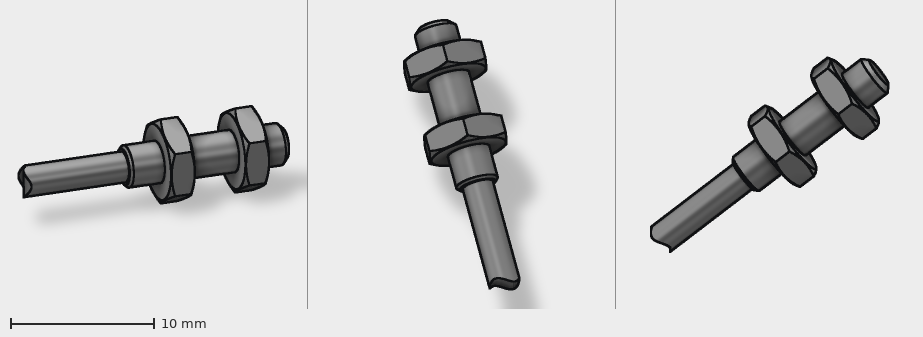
import cadquery as cq
import math

OVERALL_LENGTH = 19.67

HOUSING_DIAMETER = 3.0
HOUSING_LENGTH = 12.0
FRONT_CHAMFER = 0.4
REAR_CHAMFER = 0.22

CABLE_DIAMETER = 2.2

NUT_ACROSS_FLATS = 5.5
NUT_THICKNESS = 1.79
NUT_FACE_DIAMETER = 5.39
NUT_CHAMFER_ANGLE = 30.0
FRONT_NUT_SETBACK = 2.1
NUT_SPACING = 5.57

WAVE_LEFT_HEIGHT = 0.24
WAVE_CREST_X = -0.57
WAVE_CREST_HEIGHT = 0.53
WAVE_TROUGH_X = 0.57
WAVE_RIGHT_HEIGHT = 0.37


def make_housing():
    """Cylindrical barrel with a chamfer on each end."""
    radius = HOUSING_DIAMETER / 2
    barrel = cq.Workplane("XZ").circle(radius).extrude(HOUSING_LENGTH)
    return barrel.faces(">Y").chamfer(FRONT_CHAMFER).faces("<Y").chamfer(REAR_CHAMFER)


def make_cable():
    """Round cable that butts against the housing and ends in a wavy cut."""
    radius = CABLE_DIAMETER / 2
    length = OVERALL_LENGTH - HOUSING_LENGTH
    blank = cq.Workplane("XZ", origin=(0, -HOUSING_LENGTH, 0)).circle(radius).extrude(length)

    wave = [
        (WAVE_CREST_X, WAVE_CREST_HEIGHT - OVERALL_LENGTH),
        (WAVE_TROUGH_X, -OVERALL_LENGTH),
        (radius, WAVE_RIGHT_HEIGHT - OVERALL_LENGTH),
    ]
    kept_region = (
        cq.Workplane("XY", origin=(0, 0, -CABLE_DIAMETER))
        .moveTo(-radius, -HOUSING_LENGTH)
        .lineTo(-radius, WAVE_LEFT_HEIGHT - OVERALL_LENGTH)
        .spline(wave, includeCurrent=True)
        .lineTo(radius, -HOUSING_LENGTH)
        .close()
        .extrude(2 * CABLE_DIAMETER)
    )
    return blank.intersect(kept_region)


def make_nut(front_y):
    """Hexagon nut with corners up and down, chamfered on both faces, front face at front_y."""
    corner_radius = NUT_ACROSS_FLATS / 2 / math.cos(math.radians(30))
    corners = [
        (corner_radius * math.sin(math.radians(angle)), corner_radius * math.cos(math.radians(angle)))
        for angle in range(0, 360, 60)
    ]
    hexagon = cq.Workplane("XZ", origin=(0, front_y, 0)).polyline(corners).close().extrude(NUT_THICKNESS)

    face_radius = NUT_FACE_DIAMETER / 2
    chamfer_depth = (corner_radius - face_radius) * math.tan(math.radians(NUT_CHAMFER_ANGLE))
    back_y = front_y - NUT_THICKNESS
    cone_envelope = (
        cq.Workplane("XY")
        .polyline([
            (0, front_y),
            (face_radius, front_y),
            (corner_radius, front_y - chamfer_depth),
            (corner_radius, back_y + chamfer_depth),
            (face_radius, back_y),
            (0, back_y),
        ])
        .close()
        .revolve(360, (0, 0, 0), (0, 1, 0))
    )
    bore = cq.Workplane("XZ", origin=(0, front_y, 0)).circle(HOUSING_DIAMETER / 2).extrude(NUT_THICKNESS)
    return hexagon.intersect(cone_envelope).cut(bore)


housing = make_housing()
cable = make_cable()
nuts = [make_nut(-FRONT_NUT_SETBACK - index * NUT_SPACING) for index in range(2)]

result = cq.Compound.makeCompound([body.solids().val() for body in (housing, cable, *nuts)])